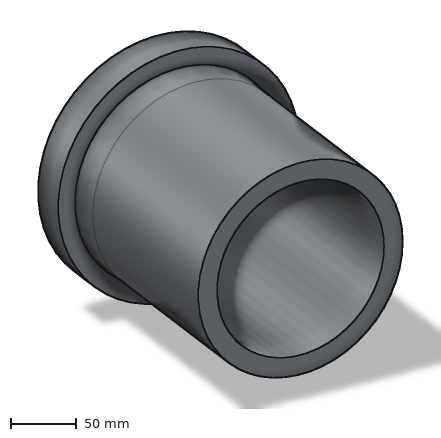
import cadquery as cq

total_length = 213.0
flange_diameter = 212.0
flange_thickness = 30.5
tube_diameter = 180.0
bore_diameter = 147.0

collar_diameter = 182.3
collar_length = 24.3

flange_radius = flange_diameter / 2
tube_radius = tube_diameter / 2
bore_radius = bore_diameter / 2
collar_radius = collar_diameter / 2
collar_end = flange_thickness + collar_length

wall_section = (
    cq.Workplane("XY")
    .moveTo(0, bore_radius)
    .lineTo(0, flange_radius)
    .lineTo(flange_thickness, flange_radius)
    .lineTo(flange_thickness, collar_radius)
    .lineTo(collar_end, tube_radius)
    .lineTo(total_length, tube_radius)
    .lineTo(total_length, bore_radius)
    .close()
)

result = wall_section.revolve(360, (0, 0, 0), (1, 0, 0))